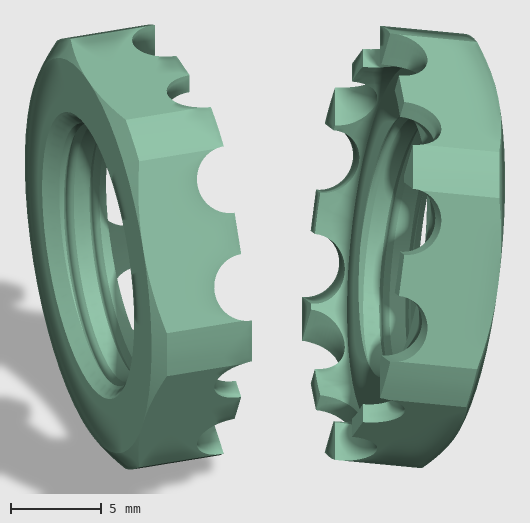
import cadquery as cq
import math


corner_diameter = 23.98
across_flats = 22.0
thickness = 5.5
front_chamfer_angle = 30.0

minor_radius = 7.25
bore_chamfer_radius = 7.99
thread_pitch = 1.49
groove_width = 0.58
groove_depth = 0.38
groove_center_at_bottom = 0.94
groove_turns = 2.9
lead_in_turns = 1
base_overlap = 0.12

counterbore_radius = 10.0
counterbore_floor = 3.45

side_count = 6
slot_radius = 1.85
slot_offset = 3.0

corner_radius = corner_diameter / 2
apothem = across_flats / 2


def revolved(profile):
    """Solid of revolution about Y from (radius, y) points."""
    return cq.Workplane("XY").polyline(profile).close().revolve(360, (0, 0, 0), (0, 1, 0))


def hexagonal_body():
    """Hexagonal prism with turned corners and a chamfered front."""
    prism = (
        cq.Workplane("XZ")
        .polygon(side_count, across_flats / math.cos(math.pi / side_count))
        .extrude(-thickness)
    )
    chamfer_length = (corner_radius - apothem) * math.tan(math.radians(front_chamfer_angle))
    turned_blank = revolved(
        [
            (0, 0),
            (apothem, 0),
            (corner_radius, chamfer_length),
            (corner_radius, thickness),
            (0, thickness),
        ]
    )
    return prism.intersect(turned_blank)


def stepped_bore():
    """Bore with a 45 degree entry chamfer and a wide counterbore at the back."""
    entry_chamfer = bore_chamfer_radius - minor_radius
    return revolved(
        [
            (0, 0),
            (bore_chamfer_radius, 0),
            (minor_radius, entry_chamfer),
            (minor_radius, counterbore_floor),
            (counterbore_radius, counterbore_floor),
            (counterbore_radius, thickness),
            (0, thickness),
        ]
    )


def thread_groove():
    """Right-handed V groove that runs in at the front and out into the counterbore."""
    base_half_width = groove_width / 2 * (1 + base_overlap / groove_depth)
    helix = cq.Wire.makeHelix(thread_pitch, groove_turns * thread_pitch, minor_radius)
    groove = (
        cq.Workplane("XZ")
        .polyline(
            [
                (minor_radius - base_overlap, -base_half_width),
                (minor_radius + groove_depth, 0),
                (minor_radius - base_overlap, base_half_width),
            ]
        )
        .close()
        .sweep(cq.Workplane(helix), isFrenet=True)
    )
    start_at_bottom = groove.rotate((0, 0, 0), (0, 0, 1), 90)
    along_y = start_at_bottom.rotate((0, 0, 0), (1, 0, 0), -90)
    return along_y.translate((0, groove_center_at_bottom - lead_in_turns * thread_pitch, 0))


def slot_pair():
    """Cutter for the two half-round slots in the back edge of the top flat."""
    return (
        cq.Workplane("XY")
        .pushPoints([(-slot_offset, thickness), (slot_offset, thickness)])
        .circle(slot_radius)
        .extrude(corner_radius)
    )


nut = hexagonal_body().cut(stepped_bore()).cut(thread_groove())
for side in range(side_count):
    nut = nut.cut(slot_pair().rotate((0, 0, 0), (0, 1, 0), side * 360 / side_count))

result = cq.Workplane(nut.solids().val())